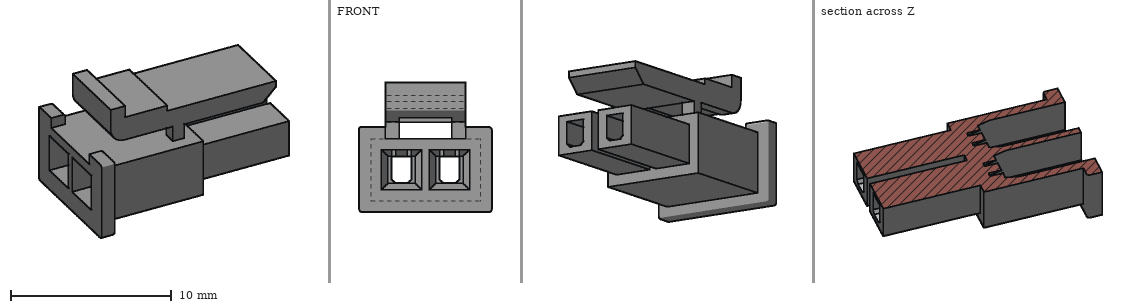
import cadquery as cq


FLANGE_WIDTH = 8.28
FLANGE_HEIGHT = 5.3
FLANGE_DEPTH = 1.0
FLANGE_ROUND = 0.2
SMALL_CORNER_ROUND = 0.12

BODY_WIDTH = 6.8
BODY_BOTTOM = 0.7
BODY_TOP = 4.58
BODY_END = 7.58

CONTACT_PITCH = 2.98
CONTACT_XS = (-CONTACT_PITCH / 2, CONTACT_PITCH / 2)
PRONG_SIZE = 2.5
PRONG_END = 14.0
CONTACT_Z = 2.64

MOUTH_SIZE = PRONG_SIZE
THROAT_SIZE = 1.7
MOUTH_DEPTH = 5.0
TAPER_LENGTH = 1.7
TAPER_END = MOUTH_DEPTH + TAPER_LENGTH
HOLE_WIDTH = 1.23
HOLE_HEIGHT = 1.64
HOLE_CHAMFER = 0.22
GROOVE_WIDTH = 0.25

LATCH_WIDTH = 5.0
LATCH_FRONT = 1.51
LATCH_END = 13.2
LATCH_TOP = 8.08
LIP_THICKNESS = 1.02
PAD_TOP = 7.27
PAD_END = 5.51
LEVER_TOP = 6.89
LEVER_BOTTOM = 5.58
TIP_CHAMFER = 0.9
GRIP_BOTTOM = 5.64
GRIP_RADIUS = 1.0

POST_FRONT = 5.91
POST_END = 6.71
WINDOW_WIDTH = 3.25
WINDOW_TOP = 5.87


def block(width, y_start, y_end, z_bottom, z_top, x_center=0.0):
    """Axis-aligned box centred on x_center."""
    box = cq.Workplane("XY").box(width, y_end - y_start, z_top - z_bottom, centered=(True, False, False))
    return box.translate((x_center, y_start, z_bottom))


def make_flange():
    flange = block(FLANGE_WIDTH, 0, FLANGE_DEPTH, 0, FLANGE_HEIGHT)
    flange = flange.edges("|Y and <X and >Z").fillet(SMALL_CORNER_ROUND)
    flange = flange.edges("|Y and (>X or <Z)").fillet(FLANGE_ROUND)
    flange = flange.faces(">Y").edges().fillet(FLANGE_ROUND)
    latch_clearance = block(LATCH_WIDTH, 0, FLANGE_DEPTH, BODY_TOP, FLANGE_HEIGHT)
    return flange.cut(latch_clearance)


def make_prong(x):
    half_size = PRONG_SIZE / 2
    return block(PRONG_SIZE, BODY_END, PRONG_END, CONTACT_Z - half_size, CONTACT_Z + half_size, x)


def make_latch():
    """Lever profile in the YZ plane, extruded across the latch width."""
    lever = (
        cq.Workplane("YZ")
        .moveTo(LATCH_FRONT, LATCH_TOP)
        .lineTo(LATCH_FRONT + LIP_THICKNESS, LATCH_TOP)
        .lineTo(LATCH_FRONT + LIP_THICKNESS, PAD_TOP)
        .lineTo(PAD_END, PAD_TOP)
        .lineTo(PAD_END, LEVER_TOP)
        .lineTo(LATCH_END, LEVER_TOP)
        .lineTo(LATCH_END, LEVER_BOTTOM + TIP_CHAMFER)
        .lineTo(LATCH_END - TIP_CHAMFER, LEVER_BOTTOM)
        .lineTo(POST_END, LEVER_BOTTOM)
        .lineTo(POST_END, BODY_TOP)
        .lineTo(POST_FRONT, BODY_TOP)
        .lineTo(POST_FRONT, GRIP_BOTTOM)
        .lineTo(LATCH_FRONT + GRIP_RADIUS, GRIP_BOTTOM)
        .radiusArc((LATCH_FRONT, GRIP_BOTTOM + GRIP_RADIUS), GRIP_RADIUS)
        .close()
        .extrude(LATCH_WIDTH / 2, both=True)
    )
    window = block(WINDOW_WIDTH, LATCH_FRONT, POST_END, BODY_TOP, WINDOW_TOP)
    return lever.cut(window)


def make_cavity(x):
    """Square mouth, tapered throat, keyed through hole and two grooves above the throat."""
    half_mouth = MOUTH_SIZE / 2
    mouth = block(MOUTH_SIZE, 0, MOUTH_DEPTH, CONTACT_Z - half_mouth, CONTACT_Z + half_mouth, x)
    throat = (
        cq.Workplane("XZ", origin=(x, MOUTH_DEPTH, CONTACT_Z))
        .rect(MOUTH_SIZE, MOUTH_SIZE)
        .workplane(offset=-TAPER_LENGTH)
        .rect(THROAT_SIZE, THROAT_SIZE)
        .loft(ruled=True)
    )
    half_height = HOLE_HEIGHT / 2
    hole = block(HOLE_WIDTH, 0, PRONG_END, CONTACT_Z - half_height, CONTACT_Z + half_height, x)
    hole = hole.edges("|Y and <Z").chamfer(HOLE_CHAMFER)
    cavity = mouth.union(throat).union(hole)
    groove_offset = (HOLE_WIDTH - GROOVE_WIDTH) / 2
    for side in (-1, 1):
        groove_x = x + side * groove_offset
        groove = block(GROOVE_WIDTH, MOUTH_DEPTH, TAPER_END, CONTACT_Z, CONTACT_Z + half_mouth, groove_x)
        cavity = cavity.union(groove)
    return cavity


result = make_flange()
result = result.union(block(BODY_WIDTH, 0, BODY_END, BODY_BOTTOM, BODY_TOP))
result = result.union(make_latch())
for contact_x in CONTACT_XS:
    result = result.union(make_prong(contact_x))
for contact_x in CONTACT_XS:
    result = result.cut(make_cavity(contact_x))